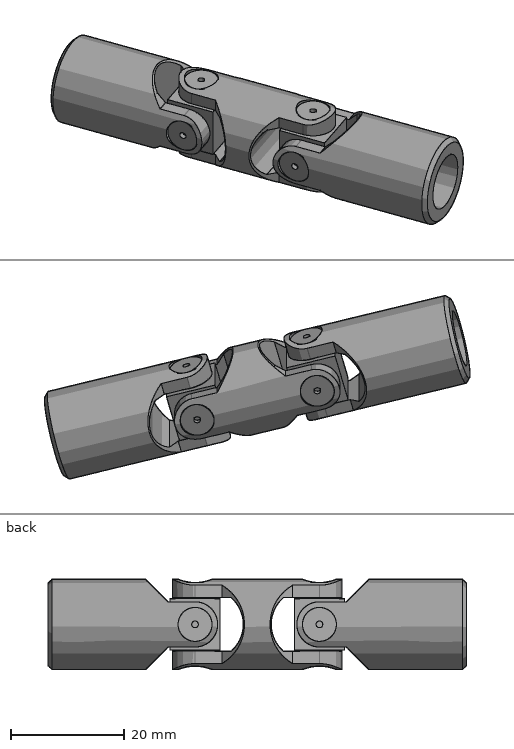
import cadquery as cq

total_length = 74.0
body_diameter = 16.0
bore_diameter = 10.0
bore_depth = 15.0
end_chamfer = 0.75
joint_spacing = 22.0

ear_width = 8.0
ear_flat_length = 4.7
slot_width = 9.5
slot_depth = 8.5
slot_bottom_radius = 6.3

block_side = 8.9
block_height = 9.1
boss_diameter = 7.0
pin_diameter = 6.0
pin_span = 14.8
center_hole_diameter = 1.2
center_hole_depth = 1.0

body_radius = body_diameter / 2
ear_radius = ear_width / 2
joint_x = joint_spacing / 2
hub_length = total_length / 2 - joint_x
clearance = 1.5
tool_half = body_radius + clearance


def cylinder_along_y(diameter, length):
    return cq.Workplane("XZ").circle(diameter / 2).extrude(length / 2, both=True)


def cylinder_along_x(diameter, start, length):
    return cq.Workplane("YZ").workplane(offset=start).circle(diameter / 2).extrude(length)


def flank_cutter():
    """Material beside the ears: 45 degree shoulders, flat flanks and a round tip."""
    shoulder_x = -(ear_flat_length + tool_half - ear_radius)
    ears = (
        cq.Workplane("XZ")
        .moveTo(shoulder_x, tool_half)
        .lineTo(-ear_flat_length, ear_radius)
        .lineTo(0, ear_radius)
        .threePointArc((ear_radius, 0), (0, -ear_radius))
        .lineTo(-ear_flat_length, -ear_radius)
        .lineTo(shoulder_x, -tool_half)
        .close()
        .extrude(tool_half, both=True)
    )
    length = tool_half - shoulder_x
    surround = cq.Workplane("XY").box(length, 2 * tool_half, 2 * tool_half).translate(
        (shoulder_x + length / 2, 0, 0)
    )
    return surround.cut(ears)


def slot_cutter():
    """Slot between the ears, open along Z, with a cylindrical bottom."""
    box_start = slot_bottom_radius - slot_depth
    straight = (
        cq.Workplane("XY")
        .box(tool_half - box_start, slot_width, 2 * tool_half)
        .translate(((tool_half + box_start) / 2, 0, 0))
    )
    bottom = (
        cq.Workplane("XY")
        .center(box_start, 0)
        .circle(slot_bottom_radius)
        .extrude(tool_half, both=True)
    )
    ear_gap = cq.Workplane("XY").box(4 * tool_half, slot_width, 2 * tool_half)
    return straight.union(bottom.intersect(ear_gap))


def fork_cutter():
    """Everything removed to make a fork that opens to +X around a Y pin at the origin."""
    pin_holes = cylinder_along_y(pin_diameter, 2 * tool_half)
    return flank_cutter().union(slot_cutter()).union(pin_holes)


def make_hub():
    """Left hub: blind bore at the outer end, fork with its pin along Y at the inner end."""
    start = -total_length / 2
    hub = cylinder_along_x(body_diameter, start, hub_length + tool_half)
    hub = hub.faces("<X").chamfer(end_chamfer)
    hub = hub.cut(cylinder_along_x(bore_diameter, start, bore_depth))
    return hub.cut(fork_cutter().translate((-joint_x, 0, 0)))


def make_middle():
    """Middle piece with a fork at each end, both pins along Z."""
    half_length = joint_x + ear_radius
    middle = cylinder_along_x(body_diameter, -half_length, 2 * half_length)
    right_cutter = fork_cutter().rotate((0, 0, 0), (1, 0, 0), 90).translate((joint_x, 0, 0))
    return middle.cut(right_cutter).cut(right_cutter.mirror("YZ"))


def make_cross(x):
    """Cross block with a boss, a pin and a centre hole on each of its four sides."""
    cross = cq.Workplane("XY").box(block_side, block_side, block_height)
    trunnion = cylinder_along_y(boss_diameter, slot_width).union(cylinder_along_y(pin_diameter, pin_span))
    drilled_core = cylinder_along_y(center_hole_diameter, pin_span - 2 * center_hole_depth)
    center_holes = cylinder_along_y(center_hole_diameter, pin_span).cut(drilled_core)
    for angle in (0, 90):
        cross = cross.union(trunnion.rotate((0, 0, 0), (1, 0, 0), angle))
    for angle in (0, 90):
        cross = cross.cut(center_holes.rotate((0, 0, 0), (1, 0, 0), angle))
    return cross.translate((x, 0, 0))


left_hub = make_hub()
right_hub = left_hub.mirror("YZ")
middle = make_middle()
crosses = [make_cross(x) for x in (-joint_x, joint_x)]

result = cq.Compound.makeCompound(
    [left_hub.val(), right_hub.val(), middle.val(), *[cross.val() for cross in crosses]]
)